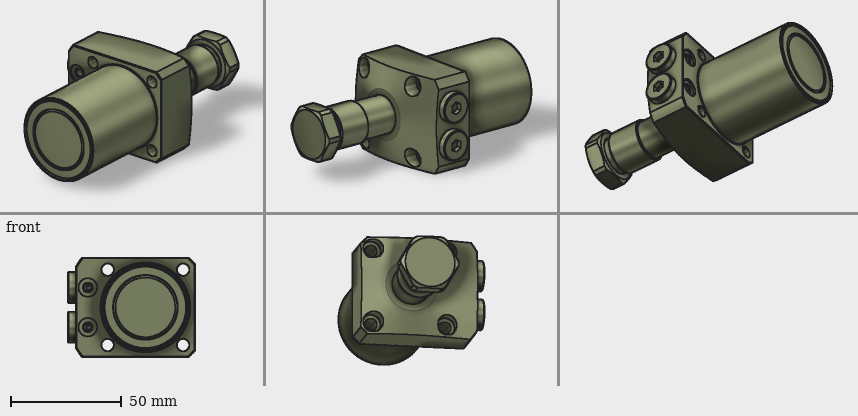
import cadquery as cq
import math


tube_length = 46.5
block_depth = 25.0
block_back = tube_length + block_depth
rod_length = 16.7
collar_start = block_back + rod_length
collar_length = 16.0
collar_end = collar_start + collar_length
total_length = 115.0
head_height = 8.0
head_start = total_length - head_height

block_height = 45.0
total_width = 57.5
plug_height = 3.7
block_right = block_height / 2
block_left = block_right + plug_height - total_width
corner_cut = 3.0
left_round_radius = 36.3
front_bevel = 0.4
crown_flat_radius = 12.0
crown_angle = math.radians(15)

tube_radius = 20.0
tube_chamfer = 0.5
base_flare = 0.3
seat_radius = 18.6
seat_chamfer = 0.7
seat_depth = 4.6

ring_recess = 0.2
ring_edge_break = 0.29
disc_radius = 14.4
disc_chamfer = 0.9
disc_recess = 0.2

mount_spacing = 34.0
mount_diameter = 5.5
mount_head_diameter = 9.0
mount_head_depth = 9.2

port_x = -26.0
port_spacing = 17.9
port_heights = [-port_spacing / 2, port_spacing / 2]
seal_diameter = 8.4
seal_depth = 1.0
port_diameter = 3.7
port_mouth_diameter = 4.5
port_mouth_depth = 0.7
port_depth = 9.9
plug_offset = 11.0
drill_tip_angle = 118
passage_diameter = 2.4
passage_start_x = -26.5
passage_end_x = -tube_radius
plug_y = tube_length + plug_offset
plug_diameter = 14.1
plug_chamfer = 0.5
plug_hex_flats = 5.1
plug_hex_depth = 2.5

rod_radius = 9.0
collar_radius = 10.0
collar_top_chamfer = 0.6
collar_bottom_chamfer = 0.3

head_flats = 24.0
head_round_diameter = 26.6
head_round_radius = head_round_diameter / 2
head_recess_radius = 8.9
head_recess_depth = 0.8
head_face_radius = 11.4
head_chamfer = 0.8
neck_radius = 7.1
neck_flare_radius = 8.4
neck_flare_height = 1.7


def revolve_about_y(profile):
    """Turn a closed (radius, y) profile about the cylinder axis."""
    return cq.Workplane("XY").polyline(profile).close().revolve(360, (0, 0, 0), (0, 1, 0))


def across_corners(across_flats):
    """Corner-to-corner width of a hexagon."""
    return across_flats / math.cos(math.pi / 6)


def make_block():
    """Flange block with cut right and rounded left corners, a front bevel and a conical crown."""
    half = block_height / 2
    round_start_x = -math.sqrt(left_round_radius**2 - half**2)
    round_end_z = math.sqrt(left_round_radius**2 - block_left**2)
    middle_angle = (math.atan2(half, round_start_x) + math.atan2(round_end_z, block_left)) / 2
    middle_x = left_round_radius * math.cos(middle_angle)
    middle_z = left_round_radius * math.sin(middle_angle)
    block = (
        cq.Workplane("XZ", origin=(0, block_back, 0))
        .moveTo(round_start_x, half)
        .lineTo(block_right - corner_cut, half)
        .lineTo(block_right, half - corner_cut)
        .lineTo(block_right, corner_cut - half)
        .lineTo(block_right - corner_cut, -half)
        .lineTo(round_start_x, -half)
        .threePointArc((middle_x, -middle_z), (block_left, -round_end_z))
        .lineTo(block_left, round_end_z)
        .threePointArc((middle_x, middle_z), (round_start_x, half))
        .close()
        .extrude(block_depth)
    )
    block = block.faces("<Y").chamfer(front_bevel)

    crown_reach = math.hypot(block_left, half)
    crown_drop = (crown_reach - crown_flat_radius) * math.tan(crown_angle)
    crown = revolve_about_y([
        (0, tube_length),
        (crown_reach, tube_length),
        (crown_reach, block_back - crown_drop),
        (crown_flat_radius, block_back),
        (0, block_back),
    ])
    return block.intersect(crown)


def make_tube():
    """Round tube with a flared base, a chamfered end and a seat for the lock ring."""
    return revolve_about_y([
        (0, seat_depth),
        (seat_radius, seat_depth),
        (seat_radius, seat_chamfer),
        (seat_radius + seat_chamfer, 0),
        (tube_radius - tube_chamfer, 0),
        (tube_radius, tube_chamfer),
        (tube_radius, tube_length - base_flare),
        (tube_radius + base_flare, tube_length),
        (0, tube_length),
    ])


def make_port(z):
    """Sealed oil port with a drill tip and a cross passage towards the cylinder."""
    radius = port_diameter / 2
    tip = radius / math.tan(math.radians(drill_tip_angle / 2))
    drill = revolve_about_y([
        (0, 0),
        (seal_diameter / 2, 0),
        (seal_diameter / 2, seal_depth),
        (port_mouth_diameter / 2, seal_depth),
        (radius, seal_depth + port_mouth_depth),
        (radius, port_depth),
        (0, port_depth + tip),
    ]).translate((port_x, tube_length, z))
    passage = (
        cq.Workplane("YZ", origin=(passage_start_x, plug_y, z))
        .circle(passage_diameter / 2)
        .extrude(passage_end_x - passage_start_x)
    )
    return drill.union(passage)


def make_mount_holes(diameter, depth):
    """Four holes of one diameter, reaching a depth from the back of the block."""
    return (
        cq.Workplane("XZ", origin=(0, block_back, 0))
        .rect(mount_spacing, mount_spacing, forConstruction=True)
        .vertices()
        .circle(diameter / 2)
        .extrude(depth)
    )


def make_housing():
    housing = make_block().union(make_tube())
    housing = housing.cut(make_mount_holes(mount_diameter, block_depth))
    housing = housing.cut(make_mount_holes(mount_head_diameter, mount_head_depth))
    for z in port_heights:
        housing = housing.cut(make_port(z))
    return housing


def make_lock_ring():
    return revolve_about_y([
        (disc_radius, ring_recess + ring_edge_break),
        (disc_radius + ring_edge_break, ring_recess),
        (seat_radius - ring_edge_break, ring_recess),
        (seat_radius, ring_recess + ring_edge_break),
        (seat_radius, seat_depth),
        (disc_radius, seat_depth),
    ])


def make_end_disc():
    return revolve_about_y([
        (0, disc_recess),
        (disc_radius - disc_chamfer, disc_recess),
        (disc_radius, disc_recess + disc_chamfer),
        (disc_radius, seat_depth),
        (0, seat_depth),
    ])


def make_rod():
    """Plunger rod with its wider collar."""
    return revolve_about_y([
        (0, block_back),
        (rod_radius, block_back),
        (rod_radius, collar_start),
        (collar_radius - collar_bottom_chamfer, collar_start),
        (collar_radius, collar_start + collar_bottom_chamfer),
        (collar_radius, collar_end - collar_top_chamfer),
        (collar_radius - collar_top_chamfer, collar_end),
        (0, collar_end),
    ])


def make_contact_bolt():
    """Hexagon head with rounded corners, recessed around its flared neck."""
    recess_floor = head_start + head_recess_depth
    hexagon = (
        cq.Workplane("XZ", origin=(0, total_length, 0))
        .polygon(6, across_corners(head_flats))
        .extrude(head_height)
    )
    rounding = revolve_about_y([
        (0, head_start),
        (head_face_radius, head_start),
        (head_round_radius, head_start + head_chamfer),
        (head_round_radius, total_length - head_chamfer),
        (head_face_radius, total_length),
        (0, total_length),
    ])
    neck = revolve_about_y([
        (0, collar_end),
        (neck_radius, collar_end),
        (neck_radius, head_start - neck_flare_height),
        (neck_flare_radius, recess_floor),
        (0, recess_floor),
    ])
    recess = (
        cq.Workplane("XZ", origin=(0, recess_floor, 0))
        .circle(head_recess_radius)
        .extrude(head_recess_depth)
    )
    return hexagon.intersect(rounding).cut(recess).union(neck)


def make_plug(z):
    """Screw plug with a hexagon socket, seated on the left side of the block."""
    plug = (
        cq.Workplane("YZ", origin=(block_left, plug_y, z))
        .circle(plug_diameter / 2)
        .extrude(-plug_height)
        .faces("<X")
        .chamfer(plug_chamfer)
    )
    socket = (
        cq.Workplane("YZ", origin=(block_left - plug_height, plug_y, z))
        .transformed(rotate=(0, 0, 90))
        .polygon(6, across_corners(plug_hex_flats))
        .extrude(plug_hex_depth)
    )
    return plug.cut(socket)


housing = make_housing()
lock_ring = make_lock_ring()
end_disc = make_end_disc()
rod = make_rod()
contact_bolt = make_contact_bolt()
plugs = [make_plug(z) for z in port_heights]

result = cq.Compound.makeCompound([
    housing.val(),
    lock_ring.val(),
    end_disc.val(),
    rod.val(),
    contact_bolt.val(),
    *[plug.val() for plug in plugs],
])